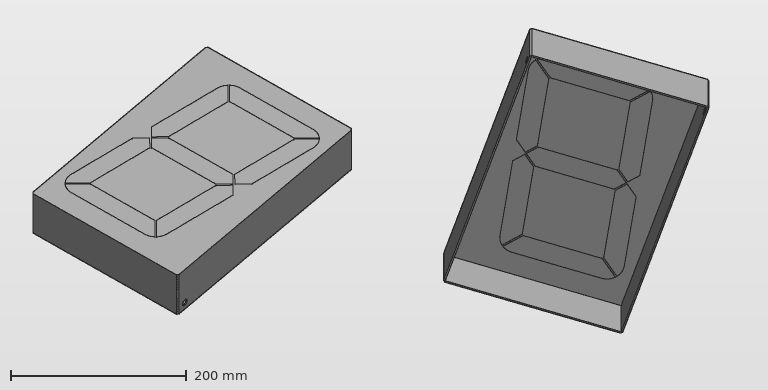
import cadquery as cq
import math

LENGTH_X = 215.1
LENGTH_Y = 313.65
HEIGHT = 62.0
WALL = 2.0
CORNER_CHAMFER = 2.0

CABLE_HOLE_DIAMETER = 8.0
CABLE_HOLE_FROM_END = 13.0
CABLE_HOLE_Z = 10.0

LEAN_ANGLE = 10.0
STROKE = 24.85
FIGURE_WIDTH = 148.2
FIGURE_HEIGHT = 255.7
FIGURE_CORNER_RADIUS = 20.0
SEGMENT_GAP = 2.0

PLATE_BOTTOM = HEIGHT - WALL
LEAN_SLOPE = math.tan(math.radians(LEAN_ANGLE))
LEANING_STROKE = STROKE / math.cos(math.radians(LEAN_ANGLE))

RISING_MITRE = (90 - LEAN_ANGLE) / 2
FALLING_MITRE = RISING_MITRE + 90
SLIT_LENGTH = 3 * STROKE

STROKE_LINE_X = (FIGURE_WIDTH - LEANING_STROKE) / 2
STROKE_LINE_Y = (FIGURE_HEIGHT - STROKE) / 2


def plate_level(x=0, y=0, angle=0):
    """Workplane on the underside of the face plate, turned about Z."""
    plane = cq.Workplane("XY", origin=(x, y, PLATE_BOTTOM))
    return plane.transformed(rotate=(0, 0, angle))


def leaning_block(width, bottom, top):
    """Leaning parallelogram as thick as the face plate."""
    upright = [
        (-width / 2, bottom),
        (width / 2, bottom),
        (width / 2, top),
        (-width / 2, top),
    ]
    corners = [(x + y * LEAN_SLOPE, y) for x, y in upright]
    return plate_level().polyline(corners).close().extrude(WALL)


def slit(x, y, angle):
    """Narrow bar that separates two segments along a mitre."""
    return plate_level(x, y, angle).rect(SLIT_LENGTH, SEGMENT_GAP).extrude(WALL)


def waist_notch(side):
    """Square-cornered notch between the upper and lower segments on one side."""
    angle = RISING_MITRE - 90 if side > 0 else FALLING_MITRE
    corner = plate_level(side * STROKE_LINE_X, 0, angle)
    return corner.rect(STROKE, STROKE, centered=False).extrude(WALL)


def make_segments():
    """Figure eight cut by slits into seven separate segments."""
    half_height = FIGURE_HEIGHT / 2
    figure = leaning_block(FIGURE_WIDTH, -half_height, half_height)
    figure = figure.edges("|Z").fillet(FIGURE_CORNER_RADIUS)

    window_width = FIGURE_WIDTH - 2 * LEANING_STROKE
    window_near = STROKE / 2
    window_far = half_height - STROKE
    figure = figure.cut(leaning_block(window_width, window_near, window_far))
    figure = figure.cut(leaning_block(window_width, -window_far, -window_near))

    for side in (-1, 1):
        waist_x = side * STROKE_LINE_X
        figure = figure.cut(waist_notch(side))
        figure = figure.cut(slit(waist_x, 0, RISING_MITRE))
        figure = figure.cut(slit(waist_x, 0, FALLING_MITRE))
        for end in (-1, 1):
            corner_y = end * STROKE_LINE_Y
            corner_x = waist_x + corner_y * LEAN_SLOPE
            angle = RISING_MITRE if side == end else FALLING_MITRE
            figure = figure.cut(slit(corner_x, corner_y, angle))
    return figure.solids()


def make_housing(segments):
    """Chamfered shell with cable holes and an opening for every segment."""
    body = cq.Workplane("XY").rect(LENGTH_X, LENGTH_Y).extrude(HEIGHT)
    body = body.edges("|Z").chamfer(CORNER_CHAMFER)

    cavity = cq.Workplane("XY").rect(LENGTH_X - 2 * WALL, LENGTH_Y - 2 * WALL).extrude(PLATE_BOTTOM)
    body = body.cut(cavity)

    hole_y = CABLE_HOLE_FROM_END - LENGTH_Y / 2
    cable_hole = (
        cq.Workplane("YZ", origin=(-LENGTH_X / 2, hole_y, CABLE_HOLE_Z))
        .circle(CABLE_HOLE_DIAMETER / 2)
        .extrude(LENGTH_X)
    )
    body = body.cut(cable_hole)

    for segment in segments.vals():
        body = body.cut(cq.Workplane(segment))
    return body


segments = make_segments()
housing = make_housing(segments)

result = cq.Compound.makeCompound([housing.val(), *segments.vals()])